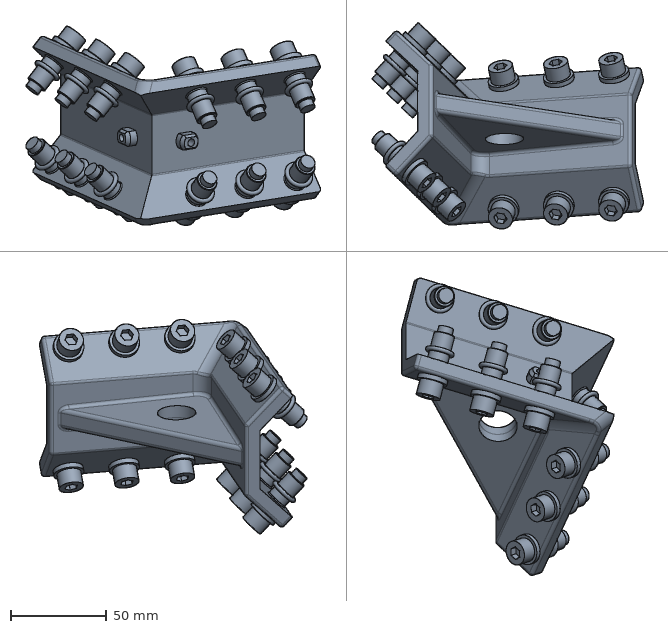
import cadquery as cq
import math


OUTER_SIZE = 121.3

LEG_LENGTH = 110.9
THICKNESS = 8.1
WEB_HALF_HEIGHT = 16.4
LIP_WIDTH = 25.1
CORNER_RADIUS = 8.0
EDGE_RADIUS = 2.0
BEND_RADIUS = 1.0

RIB_SPAN = 131.6
RIB_EDGE_HALF = 5.5
RIB_DRAFT = 2
RIB_EDGE_RADIUS = 2.2
HOLE_DIAMETER = 20.0
HOLE_FROM_CORNER = 47.9

SCREW_PITCH = 30.0
FIRST_SCREW = 38.0
SCREW_ON_LIP = 16.5
SCREWS_PER_LIP = 3
WASHER_DIAMETER = 16.0
WASHER_HEIGHT = 2.5
HEAD_DIAMETER = 12.9
HEAD_HEIGHT = 8.0
HEX_ACROSS_FLATS = 6.0
HEX_DEPTH = 4.0
X_LEG_SOCKET_TURN = -15
Y_LEG_LOWER_SOCKET_TURN = 30
SHANK_DIAMETER = 11.0
SHANK_LENGTH = 15.7
COLLAR_DIAMETER = 12.0
COLLAR_HEIGHT = 0.7
SHANK_CHAMFER = 0.3
TIP_DIAMETER = 8.0
RING_CENTRE_DIAMETER = 13.0
RING_SECTION_RADIUS = 1.2
RING_FROM_LIP = 6.1

PIN_HEIGHT = 6.4
PIN_DIAMETER = 10.9
PIN_WIDTH = 8.0
PIN_END_DIAMETER = 8.5
PIN_END_WIDTH = 5.8
PIN_ROUND_TAPER = 2.3
PIN_FLAT_TAPER = 1.7
PIN_HOLE_DIAMETER = 4.0

TOLERANCE = 0.01

SLOPE = math.sqrt(0.5)
WEB_OUTER = LIP_WIDTH * SLOPE
WEB_INNER = WEB_OUTER + THICKNESS
INNER_HALF_HEIGHT = WEB_HALF_HEIGHT + THICKNESS * math.tan(math.radians(22.5))
TIP_OUTER_Z = WEB_HALF_HEIGHT + LIP_WIDTH * SLOPE
TIP_INNER_Y = THICKNESS * SLOPE
TIP_INNER_Z = TIP_OUTER_Z + THICKNESS * SLOPE
SCREW_Y = WEB_OUTER - SCREW_ON_LIP * SLOPE
SCREW_Z = WEB_HALF_HEIGHT + SCREW_ON_LIP * SLOPE
TIP_END = (OUTER_SIZE - LEG_LENGTH + SCREW_Y) / SLOPE - TIP_DIAMETER / 2


def mirrored(shape):
    """The same shape on the other leg: (x, y) becomes (-y, -x)."""
    return shape.mirror("XZ").rotate((0, 0, 0), (0, 0, 1), -90)


def leg():
    upper = [
        (WEB_OUTER, WEB_HALF_HEIGHT),
        (0, TIP_OUTER_Z),
        (TIP_INNER_Y, TIP_INNER_Z),
        (WEB_INNER, INNER_HALF_HEIGHT),
    ]
    lower = [(y, -z) for y, z in reversed(upper)]
    bar = cq.Workplane("YZ").polyline(upper + lower).close().extrude(-LEG_LENGTH)
    mitre = [(0, 0), (-LEG_LENGTH, 0), (-LEG_LENGTH, LEG_LENGTH)]
    half_space = cq.Workplane("XY").polyline(mitre).close().extrude(TIP_INNER_Z, both=True)
    return bar.intersect(half_space)


def fillet_edges(body, radius, *tests):
    """Round every edge that passes all the tests."""
    edges = [edge for edge in body.edges().vals() if all(test(edge) for test in tests)]
    return body.newObject(edges).fillet(radius)


def off_outer_side(edge):
    """Whether an edge leaves the hollow side of the legs, which stays sharp."""

    def on_outer_side(vertex):
        depth = min(vertex.Y, -vertex.X)
        bend_sum = WEB_OUTER + WEB_HALF_HEIGHT
        return depth + max(abs(vertex.Z), WEB_HALF_HEIGHT) < bend_sum + TOLERANCE

    return not all(on_outer_side(vertex) for vertex in edge.Vertices())


def joins_legs(edge):
    return all(abs(vertex.X + vertex.Y) < TOLERANCE for vertex in edge.Vertices())


def between_webs(edge):
    return abs(edge.Center().z) < TOLERANCE


def between_lips(edge):
    return abs(edge.Center().z) > INNER_HALF_HEIGHT


def on_leg_end(edge):
    return all(
        min(vertex.X + LEG_LENGTH, LEG_LENGTH - vertex.Y) < TOLERANCE for vertex in edge.Vertices()
    )


def along_leg_at(height):
    """Test for the long edges at a given distance above or below mid height."""

    def test(edge):
        box = edge.BoundingBox()
        is_long = max(box.xlen, box.ylen) > LEG_LENGTH / 2
        return is_long and abs(abs(edge.Center().z) - height) < TOLERANCE

    return test


def bracket():
    body = leg().union(mirrored(leg()))
    body = fillet_edges(body, CORNER_RADIUS, joins_legs, off_outer_side, between_webs)
    body = fillet_edges(body, CORNER_RADIUS, joins_legs, off_outer_side, between_lips)
    body = fillet_edges(body, EDGE_RADIUS, along_leg_at(INNER_HALF_HEIGHT))
    body = fillet_edges(body, EDGE_RADIUS, along_leg_at(TIP_INNER_Z))
    body = fillet_edges(body, EDGE_RADIUS, on_leg_end, off_outer_side)
    return fillet_edges(body, BEND_RADIUS, along_leg_at(WEB_HALF_HEIGHT))


def on_sloping_edge(edge):
    return all(abs(vertex.Y - vertex.X - RIB_SPAN) < TOLERANCE for vertex in edge.Vertices())


def rib():
    """Drafted triangular plate, thinnest at its rounded sloping edge."""
    depth = (RIB_SPAN - 2 * WEB_OUTER) * SLOPE
    root_half = RIB_EDGE_HALF + depth * math.tan(math.radians(RIB_DRAFT))
    section = [
        (0, RIB_EDGE_HALF),
        (depth, root_half),
        (depth, -root_half),
        (0, -RIB_EDGE_HALF),
    ]
    edge_middle = (-RIB_SPAN / 2, RIB_SPAN / 2, 0)
    plane = cq.Plane(origin=edge_middle, xDir=(1, -1, 0), normal=(1, 1, 0))
    plate = cq.Workplane(plane).polyline(section).close().extrude(LEG_LENGTH, both=True)
    plate = fillet_edges(plate, RIB_EDGE_RADIUS, on_sloping_edge)
    web_middle = WEB_OUTER + THICKNESS / 2
    limits = (
        cq.Workplane("XY")
        .polyline([(-web_middle, web_middle), (-2 * LEG_LENGTH, web_middle), (-web_middle, 2 * LEG_LENGTH)])
        .close()
        .extrude(root_half, both=True)
    )
    return plate.intersect(limits)


def on_rib_root(edge):
    """Whether an edge runs where the rib meets the webs."""
    middle = edge.Center()
    above_web = min(middle.y, -middle.x) - WEB_INNER
    in_rib = middle.y - middle.x < RIB_SPAN + TOLERANCE and abs(middle.z) < WEB_HALF_HEIGHT / 2
    return in_rib and -TOLERANCE < above_web < CORNER_RADIUS


def ribbed_bracket():
    body = bracket().union(rib())
    body = fillet_edges(body, EDGE_RADIUS, on_rib_root)
    hole = (
        cq.Workplane("XY")
        .center(-HOLE_FROM_CORNER, HOLE_FROM_CORNER)
        .circle(HOLE_DIAMETER / 2)
        .extrude(2 * CORNER_RADIUS, both=True)
    )
    return body.cut(hole)


def screw():
    """Screw along Z with the outer lip face at z = 0 and the head below it."""
    washer_top = -THICKNESS - WASHER_HEIGHT
    head_top = washer_top - HEAD_HEIGHT
    shank = SHANK_DIAMETER / 2
    ring_middle = RING_CENTRE_DIAMETER / 2
    ring_half_base = math.sqrt(RING_SECTION_RADIUS**2 - (ring_middle - shank) ** 2)
    to_ring = [
        (0, head_top),
        (HEAD_DIAMETER / 2, head_top),
        (HEAD_DIAMETER / 2, washer_top),
        (WASHER_DIAMETER / 2, washer_top),
        (WASHER_DIAMETER / 2, -THICKNESS),
        (COLLAR_DIAMETER / 2, -THICKNESS),
        (COLLAR_DIAMETER / 2, 0),
        (shank, COLLAR_HEIGHT),
        (shank, RING_FROM_LIP - ring_half_base),
    ]
    from_ring = [
        (shank, SHANK_LENGTH - SHANK_CHAMFER),
        (shank - SHANK_CHAMFER, SHANK_LENGTH),
        (TIP_DIAMETER / 2, SHANK_LENGTH),
        (TIP_DIAMETER / 2, TIP_END),
        (0, TIP_END),
    ]
    body = (
        cq.Workplane("XZ")
        .polyline(to_ring)
        .threePointArc(
            (ring_middle + RING_SECTION_RADIUS, RING_FROM_LIP),
            (shank, RING_FROM_LIP + ring_half_base),
        )
        .polyline(from_ring, includeCurrent=True)
        .close()
        .revolve(360, (0, 0), (0, 1))
    )
    hex_corners = HEX_ACROSS_FLATS / math.cos(math.pi / 6)
    socket = (
        cq.Workplane("XY").workplane(offset=head_top).polygon(6, hex_corners).extrude(HEX_DEPTH)
    )
    return body.cut(socket)


def lip_screws(turn):
    """Screws of the upper lip of the leg along X, each turned about its own axis."""
    turned = screw().rotate((0, 0, 0), (0, 0, 1), turn).rotate((0, 0, 0), (1, 0, 0), 135)
    first = turned.translate((-FIRST_SCREW, SCREW_Y, SCREW_Z))
    return [first.translate((-index * SCREW_PITCH, 0, 0)) for index in range(SCREWS_PER_LIP)]


def pin():
    """Round pin with two flats, tapered at its end, on the web of the leg along X."""
    round_profile = [
        (0, -THICKNESS / 2),
        (PIN_DIAMETER / 2, -THICKNESS / 2),
        (PIN_DIAMETER / 2, PIN_HEIGHT - PIN_ROUND_TAPER),
        (PIN_END_DIAMETER / 2, PIN_HEIGHT),
        (0, PIN_HEIGHT),
    ]
    flat_profile = [
        (-PIN_WIDTH / 2, -THICKNESS / 2),
        (-PIN_WIDTH / 2, PIN_HEIGHT - PIN_FLAT_TAPER),
        (-PIN_END_WIDTH / 2, PIN_HEIGHT),
        (PIN_END_WIDTH / 2, PIN_HEIGHT),
        (PIN_WIDTH / 2, PIN_HEIGHT - PIN_FLAT_TAPER),
        (PIN_WIDTH / 2, -THICKNESS / 2),
    ]
    body = cq.Workplane("XZ").polyline(round_profile).close().revolve(360, (0, 0), (0, 1))
    slab = cq.Workplane("YZ").polyline(flat_profile).close().extrude(PIN_DIAMETER, both=True)
    hole = cq.Workplane("XY").circle(PIN_HOLE_DIAMETER / 2).extrude(PIN_HEIGHT)
    body = body.intersect(slab).cut(hole)
    return body.rotate((0, 0, 0), (1, 0, 0), 90).translate((-FIRST_SCREW, WEB_OUTER, 0))


result = ribbed_bracket().union(pin()).union(mirrored(pin()))
for upper, lower in zip(lip_screws(X_LEG_SOCKET_TURN), lip_screws(X_LEG_SOCKET_TURN)):
    result = result.union(upper).union(lower.mirror("XY"))
for upper, lower in zip(lip_screws(0), lip_screws(Y_LEG_LOWER_SOCKET_TURN)):
    result = result.union(mirrored(upper)).union(mirrored(lower.mirror("XY")))